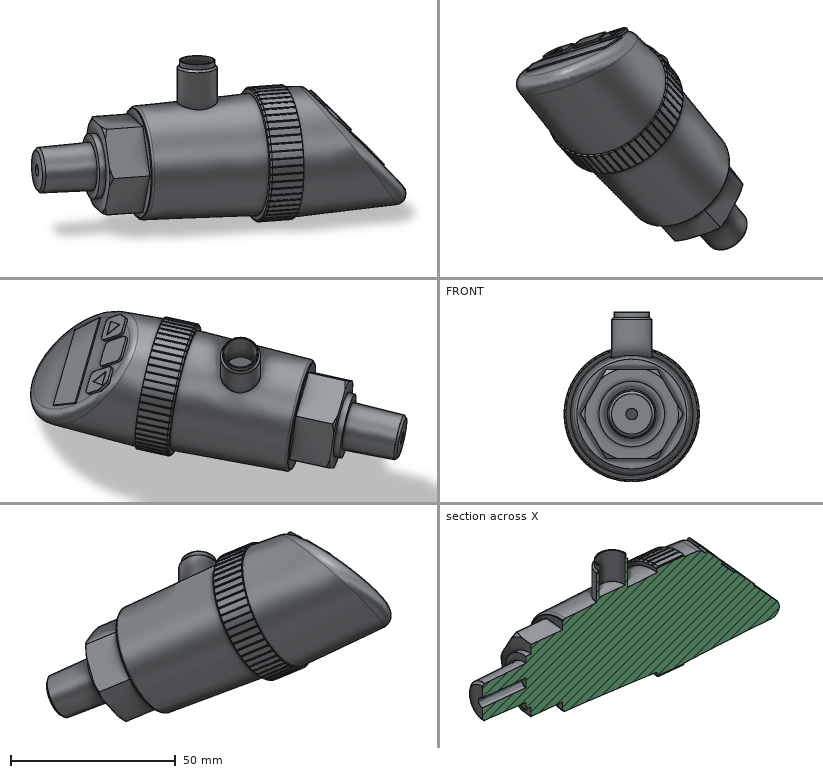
import cadquery as cq
import math


stub_tip_radius = 7.0
stub_root_radius = 7.4
stub_length = 16.9
stub_chamfer = 0.8
port_radius = 1.7
collar_radius = 10.0
collar_thickness = 2.1
hex_across_flats = 27.0
hex_length = 12.3
hex_corner_trim = 1.4
hex_trim_depth = 0.8

body_front_radius = 17.4
body_rear_radius = 18.7
body_length = 36.7
body_fillet = 0.7
body_lip_length = 0.3
ring_radius = 20.57
ring_length = 10.5
ring_chamfer = 0.6
groove_count = 54
groove_width = 0.3
groove_depth = 0.3

head_base_radius = 19.9
head_taper = math.radians(2.6)
face_angle = math.radians(47.2)
face_axis_y = 103.1
face_fillet = 3.4

connector_y = 50.6
connector_radius = 6.1
connector_neck_radius = 5.39
connector_bore_radius = 5.0
connector_top = 30.99
connector_neck_height = 1.6
connector_shoulder_chamfer = 0.7
connector_bore_depth = 11.6

display_top = 3.7
display_bottom = -7.1
display_top_half_width = 13.4
display_bottom_half_width = 15.3
display_height = 0.5
button_height = 0.8
button_corner_radius = 1.5
side_button_x = 9.6
side_button_half_width = 3.9
side_button_top = -11.5
side_button_bottom = -21.0
side_button_cut_width = 2.2
side_button_cut_height = 3.2
middle_button_half_width = 4.4
middle_button_top = -14.5
middle_button_bottom = -24.0
arrow_half_width = 2.4
arrow_height = 5.0
arrow_depth = 0.1

collar_start = stub_length
hex_start = collar_start + collar_thickness
body_start = hex_start + hex_length
ring_start = body_start + body_length
ring_end = ring_start + ring_length
head_blank_end = 127.5

face_plane = cq.Plane(
    origin=(0, face_axis_y, 0),
    xDir=(1, 0, 0),
    normal=(0, math.sin(face_angle), math.cos(face_angle)),
)


def cone_along_y(y_start, y_end, start_radius, end_radius):
    """Solid cone or cylinder around the Y axis."""
    profile = [(0, y_start), (start_radius, y_start), (end_radius, y_end), (0, y_end)]
    return cq.Workplane("XY").polyline(profile).close().revolve(360, (0, 0), (0, 1))


def make_process_connection():
    stub = cone_along_y(0, stub_length, stub_tip_radius, stub_root_radius)
    stub = stub.faces("<Y").chamfer(stub_chamfer)
    collar = cone_along_y(collar_start, hex_start, collar_radius, collar_radius)
    return stub.union(collar)


def make_hex():
    """Hexagon with corners on +X and -X, its corners trimmed by a cone at the stub end."""
    corner_radius = hex_across_flats / math.sqrt(3)
    trim_radius = corner_radius - hex_corner_trim
    prism = (
        cq.Workplane("XZ", origin=(0, body_start, 0))
        .polygon(6, 2 * corner_radius)
        .extrude(hex_length)
    )
    trim_end = hex_start + hex_trim_depth
    envelope = cone_along_y(hex_start, trim_end, trim_radius, corner_radius)
    envelope = envelope.union(cone_along_y(trim_end, body_start, corner_radius, corner_radius))
    return prism.intersect(envelope)


def make_body():
    """Tapered body with a rounded front edge that ends in a thin lip against the hex."""
    shell_start = body_start + body_lip_length
    lip_radius = body_front_radius - body_fillet
    lip = cone_along_y(body_start, shell_start, lip_radius, lip_radius)
    shell = cone_along_y(shell_start, ring_start, body_front_radius, body_rear_radius)
    shell = shell.faces("<Y").edges().fillet(body_fillet)
    return shell.union(lip)


def make_ring():
    """Grip ring with narrow lengthwise grooves, one of them at the very top."""
    ring = cone_along_y(ring_start, ring_end, ring_radius, ring_radius)
    ring = ring.faces("<Y").edges().chamfer(ring_chamfer)
    grooves = (
        cq.Workplane("XZ", origin=(0, ring_end, 0))
        .transformed(rotate=(0, 0, 90))
        .polarArray(ring_radius, 0, 360, groove_count)
        .rect(2 * groove_depth, groove_width)
        .extrude(ring_length)
    )
    return ring.cut(grooves)


def make_head():
    """Tapered head cut off by the sloped face, with a rounded rim."""
    blank_end_radius = head_base_radius - (head_blank_end - ring_end) * math.tan(head_taper)
    head = cone_along_y(ring_end, head_blank_end, head_base_radius, blank_end_radius)
    cutter_size = 4 * ring_radius
    cutter = cq.Workplane(face_plane).rect(cutter_size, cutter_size).extrude(cutter_size)
    head = head.cut(cutter)
    sloped_face = head.faces(cq.selectors.DirectionMinMaxSelector(face_plane.zDir, True))
    return sloped_face.edges().fillet(face_fillet)


def raised_outline(points, height):
    """Raise an outline off the sloped face, rooted below it so that it also meets the rounded rim."""
    return (
        cq.Workplane(face_plane)
        .workplane(offset=-face_fillet)
        .polyline(points)
        .close()
        .extrude(face_fillet + height)
    )


def make_display():
    return raised_outline(
        [
            (-display_top_half_width, display_top),
            (display_top_half_width, display_top),
            (display_bottom_half_width, display_bottom),
            (-display_bottom_half_width, display_bottom),
        ],
        display_height,
    )


def make_middle_button():
    points = [
        (-middle_button_half_width, middle_button_top),
        (middle_button_half_width, middle_button_top),
        (middle_button_half_width, middle_button_bottom),
        (-middle_button_half_width, middle_button_bottom),
    ]
    button = raised_outline(points, button_height)
    return button.edges(cq.selectors.ParallelDirSelector(face_plane.zDir)).fillet(button_corner_radius)


def make_side_button(side):
    """Side button (side is -1 or 1) with a slanted outer lower corner and an engraved arrow.

    The arrow points up on the -X button and down on the +X button.
    """
    inner_x = side * (side_button_x - side_button_half_width)
    outer_x = side * (side_button_x + side_button_half_width)
    points = [
        (inner_x, side_button_top),
        (outer_x, side_button_top),
        (outer_x, side_button_bottom + side_button_cut_height),
        (outer_x - side * side_button_cut_width, side_button_bottom),
        (inner_x, side_button_bottom),
    ]
    button = raised_outline(points, button_height)
    button = button.edges(cq.selectors.ParallelDirSelector(face_plane.zDir)).fillet(button_corner_radius)

    middle = (side_button_top + side_button_bottom) / 2
    center_x = side * side_button_x
    base = middle + side * arrow_height / 2
    apex = middle - side * arrow_height / 2
    left_corner = (center_x - arrow_half_width, base)
    right_corner = (center_x + arrow_half_width, base)
    arrow = (
        cq.Workplane(face_plane)
        .workplane(offset=button_height - arrow_depth)
        .polyline([left_corner, right_corner, (center_x, apex)])
        .close()
        .extrude(2 * arrow_depth)
    )
    return button.cut(arrow)


def make_connector():
    """Upright barrel with a reduced neck, rooted on the sensor axis."""
    shoulder = connector_top - connector_neck_height
    base = cq.Workplane("XY", origin=(0, connector_y, 0))
    barrel = base.circle(connector_radius).extrude(shoulder)
    barrel = barrel.faces(">Z").chamfer(connector_shoulder_chamfer)
    neck = base.circle(connector_neck_radius).extrude(connector_top)
    return barrel.union(neck)


def make_connector_bore():
    return (
        cq.Workplane("XY", origin=(0, connector_y, connector_top))
        .circle(connector_bore_radius)
        .extrude(-connector_bore_depth)
    )


result = make_process_connection()
for piece in (make_hex(), make_body(), make_ring(), make_head(), make_connector()):
    result = result.union(piece)
for piece in (make_display(), make_middle_button(), make_side_button(-1), make_side_button(1)):
    result = result.union(piece)

result = result.cut(cone_along_y(0, stub_length, port_radius, port_radius))
result = result.cut(make_connector_bore())